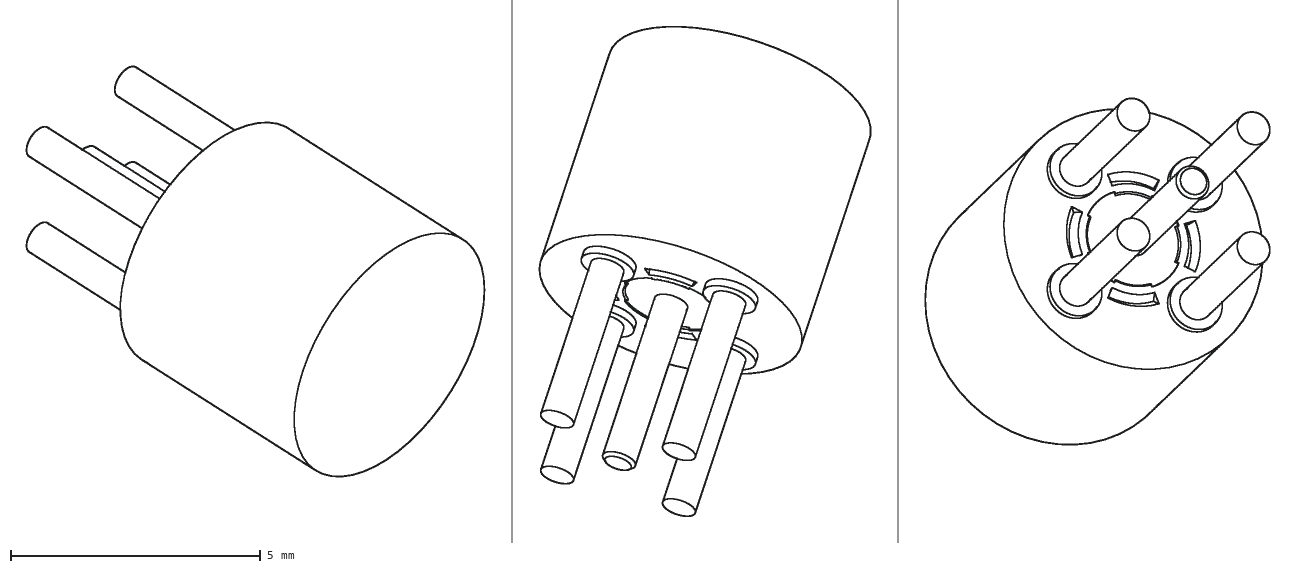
import cadquery as cq

total_length = 8.55
body_length = 4.85
body_diameter = 5.5

pin_diameter = 0.69
center_pin_chamfer = 0.07
pin_offset = 1.27
collar_diameter = 1.1
collar_height = 0.16

recess_radius = 1.04
recess_depth = 0.03

stake_angle = 45.0
stake_spacing = 90
groove_inner_radius = 1.17
groove_width = 0.25
groove_depth = 0.205
tab_face_radius = 1.0
tab_root_radius = 0.97

pin_tip_x = -total_length / 2
body_end_x = total_length / 2
pin_face_x = body_end_x - body_length
recess_floor_x = pin_face_x + recess_depth


def cylinder(start_x, end_x, diameter, y=0.0, z=0.0):
    """Solid cylinder parallel to X between two X positions."""
    disc = cq.Workplane("YZ", origin=(start_x, y, z)).circle(diameter / 2)
    return disc.extrude(end_x - start_x)


def arc_solid(profile_points, center_angle):
    """Sweep an (X, radius) profile around the X axis, over the angle of one stake."""
    profile = cq.Workplane("XY").polyline(profile_points).close()
    swept = profile.revolve(stake_angle, (0, 0, 0), (1, 0, 0))
    return swept.rotate((0, 0, 0), (1, 0, 0), center_angle - stake_angle / 2)


result = cylinder(pin_face_x, body_end_x, body_diameter)
result = result.cut(cylinder(pin_face_x, recess_floor_x, 2 * recess_radius))

groove_profile = [
    (pin_face_x, groove_inner_radius),
    (pin_face_x, groove_inner_radius + groove_width),
    (pin_face_x + groove_depth, groove_inner_radius + groove_width / 2),
]
tab_profile = [
    (pin_face_x, tab_face_radius),
    (pin_face_x, recess_radius),
    (recess_floor_x, recess_radius),
    (recess_floor_x, tab_root_radius),
]
for angle in range(0, 360, stake_spacing):
    result = result.union(arc_solid(tab_profile, angle))
    result = result.cut(arc_solid(groove_profile, angle))

center_pin = cylinder(pin_tip_x, recess_floor_x, pin_diameter).faces("<X").chamfer(center_pin_chamfer)
result = result.union(center_pin)

for y in (-pin_offset, pin_offset):
    for z in (-pin_offset, pin_offset):
        collar = cylinder(pin_face_x - collar_height, pin_face_x, collar_diameter, y, z)
        pin = cylinder(pin_tip_x, pin_face_x, pin_diameter, y, z)
        result = result.union(collar).union(pin)